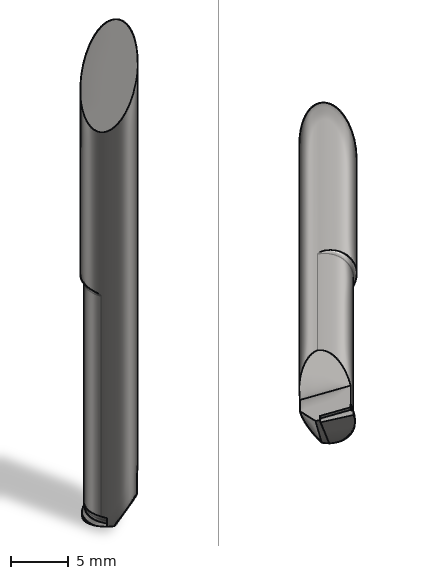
import cadquery as cq
import math

bar_length = 51.6
bar_radius = 2.5
bevel_angle = 60.0
bevel_slope = math.tan(math.radians(bevel_angle))
margin = 5.15

neck_top = 25.4
neck_shift = (0.3, 0.0)

recess_top = 1.35
recess_shift = (0.35, 0.15)
run_out_radius = 0.65

flat_y = 0.3
flat_top = 4.8
side_bevel_top = 2.9

tip_top = 1.05
tip_rim_height = 0.6
tip_rim_shift = 0.15
tip_right = 0.65
rake_face_y = 0.05

end_slope_x = 0.12
end_slope_y = -0.15


def prism(plane, points, start, depth):
    """Extrude a polygon by depth along the plane normal, from offset start."""
    return cq.Workplane(plane).workplane(offset=start).polyline(points).close().extrude(depth)


def across_x(points):
    """Prism of a YZ polygon, passing through the whole bar width."""
    reach = bar_radius + margin
    return prism("YZ", points, -reach, 2 * reach)


def relief_cutter(top, shift):
    """Ring that leaves a shifted cylinder below top and runs out in a concave fillet."""
    inner = bar_radius
    outer = bar_radius + run_out_radius
    arc_offset = run_out_radius * math.sqrt(0.5)
    arc_middle = (outer - arc_offset, top + arc_offset)
    ring = (
        cq.Workplane("XZ")
        .moveTo(inner, -margin)
        .lineTo(inner, top)
        .threePointArc(arc_middle, (outer, top + run_out_radius))
        .lineTo(outer, -margin)
        .close()
        .revolve(360, (0, 0, 0), (0, 1, 0))
    )
    return ring.translate((*shift, 0))


def above_end_face():
    """Block whose underside is the sloping end face of the bar and tip."""
    end_plane = cq.Plane(
        origin=(tip_rim_shift - bar_radius, rake_face_y, 0),
        xDir=(1, 0, end_slope_x),
        normal=(-end_slope_x, -end_slope_y, 1),
    )
    block_width = 4 * (bar_radius + margin)
    block_height = bar_length + 2 * margin
    return cq.Workplane(end_plane).rect(block_width, block_width).extrude(block_height)


def top_bevel():
    """Wedge removed from the top, facing -Y."""
    reach = bar_radius + margin
    return across_x([
        (bar_radius, bar_length),
        (-reach, bar_length - bevel_slope * (bar_radius + reach)),
        (-reach, bar_length),
    ])


def half_flat():
    """Flat on the +Y side of the cutting end, leading into a bevel."""
    reach = bar_radius + margin
    return across_x([
        (flat_y, -margin),
        (flat_y, flat_top),
        (reach, flat_top + bevel_slope * (reach - flat_y)),
        (reach, -margin),
    ])


def side_bevel():
    """Wedge removed from the +X side of the cutting end."""
    bottom_x = bar_radius - (side_bevel_top + margin) / bevel_slope
    reach = bar_radius + margin
    points = [(bottom_x, -margin), (bar_radius, side_bevel_top), (reach, side_bevel_top), (reach, -margin)]
    return prism("XZ", points, -reach, 2 * reach)


def beside_tip_wall(top):
    """Block on the tip's side of the wall at tip_right, up to the given height."""
    reach = bar_radius + margin
    block = cq.Workplane("XY").box(reach + tip_right, 2 * reach, top + margin, centered=False)
    return block.translate((-reach, -reach, -margin))


def recess_cutter():
    """Relief above the tip, ending at the same wall as the tip."""
    ring = relief_cutter(recess_top, recess_shift)
    return ring.intersect(beside_tip_wall(recess_top + run_out_radius))


def make_bar():
    bar = cq.Workplane("XY").circle(bar_radius).extrude(bar_length)
    bar = bar.cut(relief_cutter(neck_top, neck_shift))
    bar = bar.cut(recess_cutter())
    bar = bar.cut(top_bevel()).cut(half_flat()).cut(side_bevel())
    return bar.cut(beside_tip_wall(tip_top)).intersect(above_end_face())


def make_tip():
    rim = cq.Workplane("XY").center(tip_rim_shift, 0).circle(bar_radius).extrude(tip_rim_height)
    flank = (
        cq.Workplane("XY", origin=(tip_rim_shift, 0, tip_rim_height))
        .circle(bar_radius)
        .workplane(offset=tip_top - tip_rim_height)
        .center(recess_shift[0] - tip_rim_shift, recess_shift[1])
        .circle(bar_radius)
        .loft(ruled=True)
    )
    reach = bar_radius + margin
    behind_rake_face = across_x([
        (-reach, -margin), (rake_face_y, -margin), (rake_face_y, margin), (-reach, margin),
    ])
    tip = rim.union(flank).intersect(beside_tip_wall(tip_top))
    return tip.intersect(behind_rake_face).intersect(above_end_face())


bar = make_bar()
tip = make_tip()
result = cq.Compound.makeCompound([bar.solids().val(), tip.solids().val()])